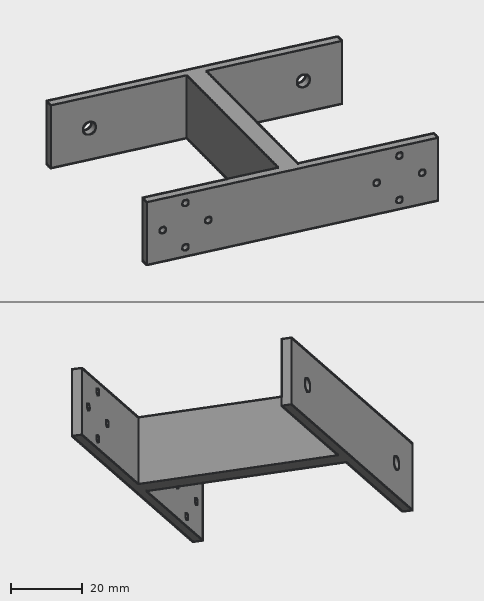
import cadquery as cq

width = 66.2
length = 90.0
height = 20.0

plate_thickness = 3.0
web_thickness = 6.0

hole_offset = 33.0
pivot_diameter = 4.0
screw_diameter = 2.0
screw_circle_radius = 7.0

plate_x = (width - plate_thickness) / 2
end_positions = [-hole_offset, hole_offset]


def side_plate(x):
    """Upright plate centred at the given X."""
    return cq.Workplane("XY").box(plate_thickness, length, height).translate((x, 0, 0))


def plate_holes(x, centres, diameter):
    """Cylinders along X that pass through the plate centred at the given X."""
    return (
        cq.Workplane("YZ", origin=(x - plate_thickness / 2, 0, 0))
        .pushPoints(centres)
        .circle(diameter / 2)
        .extrude(plate_thickness)
    )


web = cq.Workplane("XY").box(width - plate_thickness, web_thickness, height)
frame = web.union(side_plate(-plate_x)).union(side_plate(plate_x))

pivot_centres = [(y, 0) for y in end_positions]
frame = frame.cut(plate_holes(-plate_x, pivot_centres, pivot_diameter))

diamond = [
    (screw_circle_radius, 0),
    (0, screw_circle_radius),
    (-screw_circle_radius, 0),
    (0, -screw_circle_radius),
]
screw_centres = [(y + dy, dz) for y in end_positions for dy, dz in diamond]
result = frame.cut(plate_holes(plate_x, screw_centres, screw_diameter))